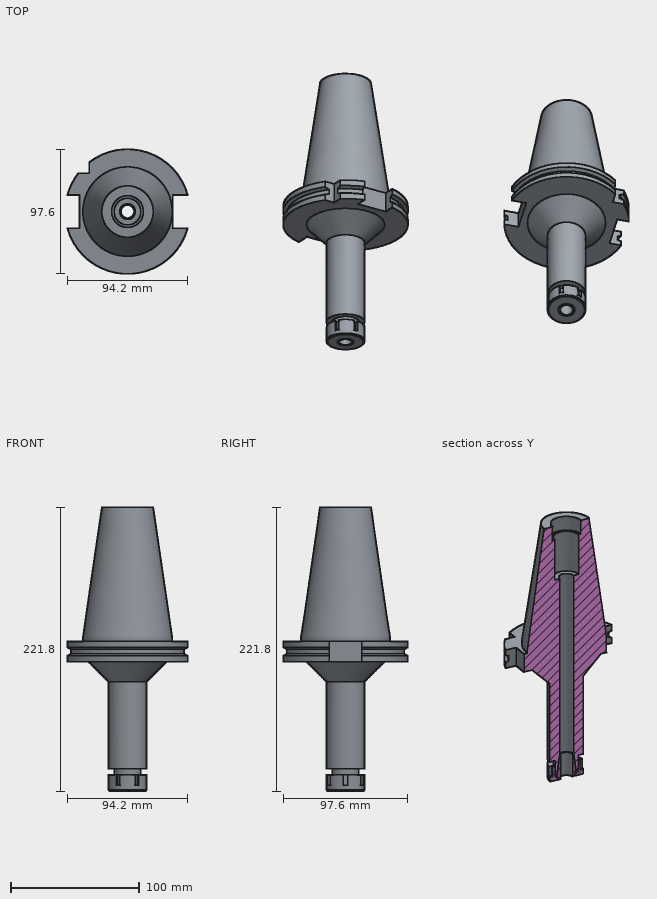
import cadquery as cq
import math


total_height = 221.8
taper_length = 101.8
taper_ratio = 7 / 24
gauge_diameter = 69.9
gauge_radius = gauge_diameter / 2
taper_top_radius = (gauge_diameter - taper_length * taper_ratio) / 2
gauge_z = total_height - taper_length
pilot_radius = 12.5
pilot_depth = 12.0
thread_radius = 10.5
thread_depth = 46.5
through_radius = 6.0

flange_radius = 48.8
flange_thickness = 16.0
flange_top_z = gauge_z - 3.0
flange_bottom_z = flange_top_z - flange_thickness
groove_mid_z = gauge_z - 11.0
groove_floor_diameter = 92.0
groove_floor_radius = groove_floor_diameter / 2
groove_depth = flange_radius - groove_floor_radius
groove_floor_width = 3.5
groove_wall_angle = 30.0
groove_mouth_width = groove_floor_width + 2 * groove_depth * math.tan(math.radians(groove_wall_angle))
drive_slot_width = 25.7
drive_slot_left_x = -37.7
drive_slot_right_x = 35.5
notch_x = -30.0
notch_y = 30.0

shank_diameter = 30.0
shank_radius = shank_diameter / 2
shank_top_z = 85.4
shank_bottom_z = 17.3
shoulder_radius = shank_radius + flange_bottom_z - shank_top_z
neck_radius = 10.5
neck_bottom_z = 3.3

nut_radius = shank_radius
nut_height = 12.6
nut_chamfer = 0.9
key_slot_count = 6
key_slot_width = 3.3
key_slot_length = 8.2
key_slot_floor_radius = 12.2

clamping_angle = 8.0
nose_angle = 30.0
collet_max_radius = 8.5
collet_top_z = 20.0
collet_bore_radius = 5.0
clamping_length = collet_top_z - neck_bottom_z
collet_top_radius = collet_max_radius - clamping_length * math.tan(math.radians(clamping_angle))
nose_radius = collet_max_radius - neck_bottom_z * math.tan(math.radians(nose_angle))


def cylinder(radius, bottom_z, top_z):
    return cq.Workplane("XY").workplane(offset=bottom_z).circle(radius).extrude(top_z - bottom_z)


def revolve_profile(points):
    """Revolve a closed (radius, z) outline about the Z axis."""
    return cq.Workplane("XZ").polyline(points).close().revolve(360, (0, 0), (0, 1))


def flange_cut(x_min, x_max, y_min, y_max):
    """Box that cuts through the full thickness of the flange."""
    return (
        cq.Workplane("XY")
        .workplane(offset=flange_bottom_z)
        .center((x_min + x_max) / 2, (y_min + y_max) / 2)
        .rect(x_max - x_min, y_max - y_min)
        .extrude(flange_thickness)
    )


def collet_envelope():
    """Outer shape of the collet, also used to cut its seats in the holder and nut."""
    return revolve_profile([
        (0, 0),
        (nose_radius, 0),
        (collet_max_radius, neck_bottom_z),
        (collet_top_radius, collet_top_z),
        (0, collet_top_z),
    ])


def make_holder():
    body = revolve_profile([
        (0, neck_bottom_z),
        (neck_radius, neck_bottom_z),
        (neck_radius, shank_bottom_z),
        (shank_radius, shank_bottom_z),
        (shank_radius, shank_top_z),
        (shoulder_radius, flange_bottom_z),
        (flange_radius, flange_bottom_z),
        (flange_radius, groove_mid_z - groove_mouth_width / 2),
        (groove_floor_radius, groove_mid_z - groove_floor_width / 2),
        (groove_floor_radius, groove_mid_z + groove_floor_width / 2),
        (flange_radius, groove_mid_z + groove_mouth_width / 2),
        (flange_radius, flange_top_z),
        (gauge_radius, flange_top_z),
        (gauge_radius, gauge_z),
        (taper_top_radius, total_height),
        (0, total_height),
    ])

    half_slot = drive_slot_width / 2
    body = body.cut(flange_cut(-flange_radius, drive_slot_left_x, -half_slot, half_slot))
    body = body.cut(flange_cut(drive_slot_right_x, flange_radius, -half_slot, half_slot))
    body = body.cut(flange_cut(-flange_radius, notch_x, notch_y, flange_radius))

    body = body.cut(cylinder(pilot_radius, total_height - pilot_depth, total_height))
    body = body.cut(cylinder(thread_radius, total_height - thread_depth, total_height))
    body = body.cut(cylinder(through_radius, neck_bottom_z, total_height))
    return body.cut(collet_envelope())


def make_nut():
    body = cylinder(nut_radius, 0, nut_height).faces("<Z").chamfer(nut_chamfer)
    body = body.cut(cylinder(neck_radius, neck_bottom_z, nut_height))
    body = body.cut(collet_envelope())

    key_slot = (
        cq.Workplane("XY")
        .workplane(offset=nut_height - key_slot_length)
        .center((key_slot_floor_radius + nut_radius) / 2, 0)
        .rect(nut_radius - key_slot_floor_radius, key_slot_width)
        .extrude(key_slot_length)
    )
    for index in range(key_slot_count):
        angle = index * 360 / key_slot_count
        body = body.cut(key_slot.rotate((0, 0, 0), (0, 0, 1), angle))
    return body


def make_collet():
    return collet_envelope().cut(cylinder(collet_bore_radius, 0, collet_top_z))


holder = make_holder()
nut = make_nut()
collet = make_collet()

result = cq.Compound.makeCompound([holder.val(), nut.val(), collet.val()])